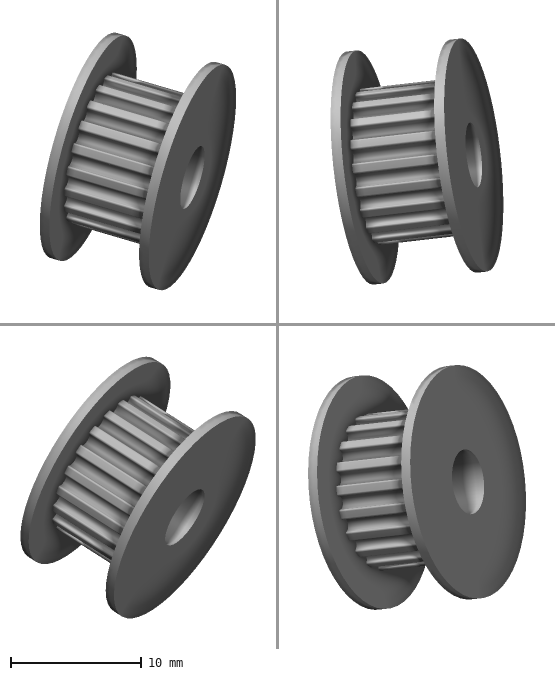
import cadquery as cq
import math

width = 9
flange_diameter = 18
flange_thickness = 0.8
bore_diameter = 5.0
toothed_diameter = 12.06
tooth_count = 20

groove_depth = 0.75
groove_radius = 0.52
tip_radius = 0.15

toothed_radius = toothed_diameter / 2
toothed_length = width - 2 * flange_thickness
tooth_pitch_angle = 360 / tooth_count


def disc(diameter, length, start_x):
    """Cylinder along X from start_x."""
    return cq.Workplane("YZ", origin=(start_x, 0, 0)).circle(diameter / 2).extrude(length)


def make_groove():
    """Cutter for the groove at the top (+Z) of the toothed drum."""
    bottom_z = toothed_radius - groove_depth
    groove_center_z = bottom_z + groove_radius
    clear_z = toothed_radius + groove_depth

    tip_center_radius = toothed_radius - tip_radius
    center_distance = groove_radius + tip_radius
    tip_angle = math.acos(
        (groove_center_z**2 + tip_center_radius**2 - center_distance**2)
        / (2 * groove_center_z * tip_center_radius)
    )
    mouth_y = toothed_radius * math.sin(tip_angle)
    mouth_z = toothed_radius * math.cos(tip_angle)
    tip_center_y = tip_center_radius * math.sin(tip_angle)
    tip_center_z = tip_center_radius * math.cos(tip_angle)
    blend_fraction = groove_radius / center_distance
    blend_y = tip_center_y * blend_fraction
    blend_z = groove_center_z + (tip_center_z - groove_center_z) * blend_fraction

    return (
        cq.Workplane("YZ", origin=(flange_thickness, 0, 0))
        .moveTo(-mouth_y, clear_z)
        .lineTo(-mouth_y, mouth_z)
        .radiusArc((-blend_y, blend_z), tip_radius)
        .threePointArc((0, bottom_z), (blend_y, blend_z))
        .radiusArc((mouth_y, mouth_z), tip_radius)
        .lineTo(mouth_y, clear_z)
        .close()
        .extrude(toothed_length)
    )


drum = disc(toothed_diameter, toothed_length, flange_thickness)
groove = make_groove()
for index in range(tooth_count):
    drum = drum.cut(groove.rotate((0, 0, 0), (1, 0, 0), index * tooth_pitch_angle))

pulley = drum
for flange_start_x in (0, width - flange_thickness):
    pulley = pulley.union(disc(flange_diameter, flange_thickness, flange_start_x))
result = pulley.cut(disc(bore_diameter, width, 0))